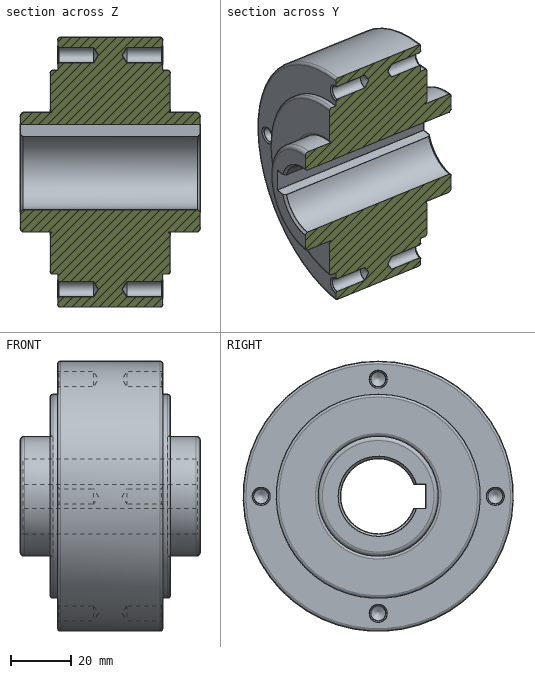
import cadquery as cq
import math

BODY_DIAMETER = 90.0
BODY_WIDTH = 35.0
BODY_EDGE_RADIUS = 0.9

PLATE_DIAMETER = 68.0
PLATE_WIDTH = 40.0
PLATE_EDGE_RADIUS = 0.9

HUB_DIAMETER = 40.0
HUB_LENGTH = 60.0
HUB_EDGE_RADIUS = 1.4

INNER_RIM_RADIUS = 0.9

BORE_DIAMETER = 25.0
BORE_CHAMFER = 0.85
KEYWAY_WIDTH = 8.0
BORE_TO_KEYWAY_FLOOR = 28.3

HOLE_COUNT = 4
HOLE_CIRCLE_DIAMETER = 78.0
HOLE_DIAMETER = 5.0
HOLE_MOUTH_DIAMETER = 6.0
HOLE_DEPTH = 12.0
DRILL_POINT_ANGLE = 118.0


def rounded_cylinder(diameter, length, edge_radius):
    """Cylinder along X, centered on the origin, with rounded rims."""
    half_section = cq.Workplane("XZ").rect(length, diameter / 2, centered=(True, False))
    blank = half_section.revolve(360, (0, 0, 0), (1, 0, 0))
    return blank.edges("%CIRCLE").fillet(edge_radius)


def on_both_ends(shape):
    """Shape together with its mirror image across the YZ plane."""
    return shape.union(shape.mirror("YZ"))


def make_stepped_body():
    body = rounded_cylinder(BODY_DIAMETER, BODY_WIDTH, BODY_EDGE_RADIUS)
    plate = rounded_cylinder(PLATE_DIAMETER, PLATE_WIDTH, PLATE_EDGE_RADIUS)
    hub = rounded_cylinder(HUB_DIAMETER, HUB_LENGTH, HUB_EDGE_RADIUS)
    return body.union(plate).cut(make_inner_rim_waste()).union(hub)


def make_inner_rim_waste():
    """Material to remove so that the inner rim of each plate face rounds down to the hub."""
    face_x = PLATE_WIDTH / 2
    hub_radius = HUB_DIAMETER / 2
    waste = (
        cq.Workplane("XZ")
        .moveTo(face_x, hub_radius)
        .lineTo(face_x, hub_radius + INNER_RIM_RADIUS)
        .radiusArc((face_x - INNER_RIM_RADIUS, hub_radius), INNER_RIM_RADIUS)
        .close()
        .revolve(360, (0, 0, 0), (1, 0, 0))
    )
    return on_both_ends(waste)


def make_bore():
    """Through bore with chamfered mouths."""
    bore_radius = BORE_DIAMETER / 2
    half_length = HUB_LENGTH / 2
    return (
        cq.Workplane("XZ")
        .moveTo(-half_length, 0)
        .lineTo(-half_length, bore_radius + BORE_CHAMFER)
        .lineTo(-half_length + BORE_CHAMFER, bore_radius)
        .lineTo(half_length - BORE_CHAMFER, bore_radius)
        .lineTo(half_length, bore_radius + BORE_CHAMFER)
        .lineTo(half_length, 0)
        .close()
        .revolve(360, (0, 0, 0), (1, 0, 0))
    )


def make_keyway():
    """Slot along the whole bore, from the axis out to the keyway floor."""
    floor_y = BORE_TO_KEYWAY_FLOOR - BORE_DIAMETER / 2
    return cq.Workplane("XY").box(HUB_LENGTH, floor_y, KEYWAY_WIDTH, centered=(True, False, True))


def make_screw_holes():
    """Countersunk blind holes with drill points, in both body faces."""
    face_x = -BODY_WIDTH / 2
    hole_radius = HOLE_DIAMETER / 2
    mouth_radius = HOLE_MOUTH_DIAMETER / 2
    floor_x = face_x + HOLE_DEPTH
    point_depth = hole_radius / math.tan(math.radians(DRILL_POINT_ANGLE / 2))
    hole = (
        cq.Workplane("XZ")
        .moveTo(face_x, 0)
        .lineTo(face_x, mouth_radius)
        .lineTo(face_x + mouth_radius - hole_radius, hole_radius)
        .lineTo(floor_x, hole_radius)
        .lineTo(floor_x + point_depth, 0)
        .close()
        .revolve(360, (0, 0, 0), (1, 0, 0))
        .translate((0, 0, HOLE_CIRCLE_DIAMETER / 2))
    )
    holes = hole
    for index in range(1, HOLE_COUNT):
        holes = holes.union(hole.rotate((0, 0, 0), (1, 0, 0), index * 360 / HOLE_COUNT))
    return on_both_ends(holes)


result = (
    make_stepped_body()
    .cut(make_bore())
    .cut(make_keyway())
    .cut(make_screw_holes())
)